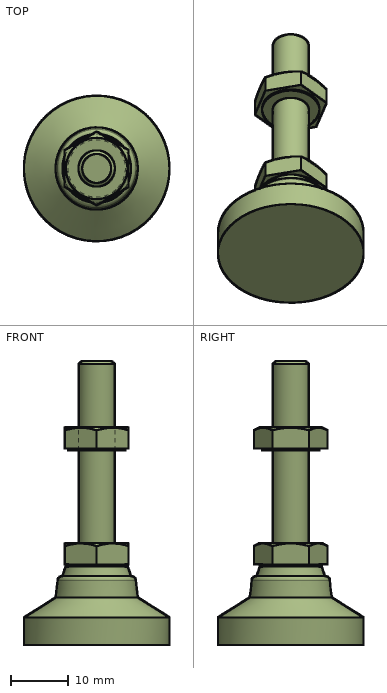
import cadquery as cq
import math

total_height = 49.55
stud_radius = 3.15
stud_tip_radius = 2.55
stud_tip_height = 0.55

hex_across_flats = 11.15
hex_height = 3.75
hex_corner_radius = hex_across_flats / math.sqrt(3)
hex_top_radius = 5.35
hex_chamfer_angle = 28.0
hex_chamfer_drop = (hex_corner_radius - hex_top_radius) * math.tan(math.radians(hex_chamfer_angle))
washer_face_radius = 5.0
stud_collar_height = 0.4
nut_washer_height = 0.3
nut_bottom = 33.95

foot_diameter = 25.4
foot_radius = foot_diameter / 2
foot_rim_height = 4.85
neck_bottom_radius = 7.2
neck_bottom = 8.3
neck_top_radius = 6.85
neck_top = 11.3
shoulder_inner_radius = 6.0
shoulder_top = 12.05
foot_top_radius = 5.45
foot_height = 13.65


def make_foot():
    """Round foot with a sloping skirt, a tapered neck and a rounded shoulder."""
    shoulder_width = neck_top_radius - shoulder_inner_radius
    shoulder_rise = shoulder_top - neck_top
    shoulder_middle = (
        shoulder_inner_radius + shoulder_width * math.cos(math.pi / 4),
        neck_top + shoulder_rise * math.sin(math.pi / 4),
    )
    return (
        cq.Workplane("XZ")
        .moveTo(0, 0)
        .lineTo(foot_radius, 0)
        .lineTo(foot_radius, foot_rim_height)
        .lineTo(neck_bottom_radius, neck_bottom)
        .lineTo(neck_top_radius, neck_top)
        .threePointArc(shoulder_middle, (shoulder_inner_radius, shoulder_top))
        .lineTo(foot_top_radius, foot_height)
        .lineTo(0, foot_height)
        .close()
        .revolve(360, (0, 0, 0), (0, 1, 0))
    )


def make_hex_with_face(bottom, face_height):
    """Hexagon with corners on Y, a chamfered top and a round face below it."""
    hex_bottom = bottom + face_height
    hex_top = hex_bottom + hex_height
    prism = (
        cq.Workplane("XY")
        .workplane(offset=hex_bottom)
        .polygon(6, 2 * hex_corner_radius)
        .extrude(hex_height)
        .rotate((0, 0, 0), (0, 0, 1), 90)
    )
    chamfer_envelope = (
        cq.Workplane("XZ")
        .moveTo(0, hex_bottom)
        .lineTo(hex_corner_radius, hex_bottom)
        .lineTo(hex_corner_radius, hex_top - hex_chamfer_drop)
        .lineTo(hex_top_radius, hex_top)
        .lineTo(0, hex_top)
        .close()
        .revolve(360, (0, 0, 0), (0, 1, 0))
    )
    face = cq.Workplane("XY").workplane(offset=bottom).circle(washer_face_radius).extrude(face_height)
    return prism.intersect(chamfer_envelope).union(face)


def make_stud():
    """Rod with a chamfered tip and an integral hexagon whose collar rests on the foot."""
    rod = (
        cq.Workplane("XY")
        .workplane(offset=foot_height)
        .circle(stud_radius)
        .extrude(total_height - foot_height)
        .faces(">Z")
        .chamfer(stud_tip_height, stud_radius - stud_tip_radius)
    )
    return rod.union(make_hex_with_face(foot_height, stud_collar_height))


def make_lock_nut():
    """Hexagon nut with a washer face, bored to fit the stud."""
    blank = make_hex_with_face(nut_bottom, nut_washer_height)
    bore = (
        cq.Workplane("XY")
        .workplane(offset=nut_bottom)
        .circle(stud_radius)
        .extrude(nut_washer_height + hex_height)
    )
    return blank.cut(bore)


foot = make_foot()
stud = make_stud()
lock_nut = make_lock_nut()

result = cq.Compound.makeCompound([foot.val(), stud.val(), lock_nut.val()])